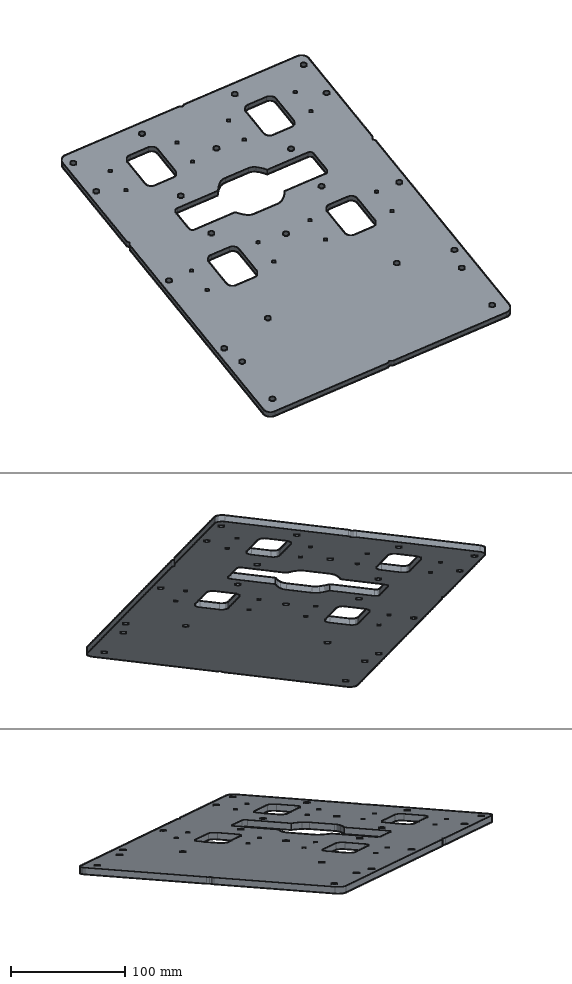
import cadquery as cq
import math

LENGTH = 360.0
WIDTH = 250.0
THICKNESS = 6.0
CORNER_RADIUS = 7.2

AXIS_HOLE_SPACING = 120.0

CENTRE_X = -AXIS_HOLE_SPACING / 2

SLOT_WIDTH = 30.0
SLOT_LENGTH = 140.0
SLOT_CORNER_RADIUS = 3.5
DISC_DIAMETER = 58.5
DISC_CORNER_RADIUS = 10.0
DISC_WIDTH_ACROSS_FLATS = 50.0

WINDOW_LENGTH = 42.5
WINDOW_WIDTH = 30.5
WINDOW_CORNER_RADIUS = 6.0
WINDOW_SPACING_X = 140.0
WINDOW_SPACING_Y = 120.2
SMALL_HOLE_DIAMETER = 3.2
SMALL_HOLE_SPACING_X = 27.0
SMALL_HOLE_SPACING_Y = 67.5

HOLE_DIAMETER = 5.5
SLOT_HOLE_SPACING_X = 52.5
SLOT_HOLE_SPACING_Y = 112.0
EDGE_ROW_Y = 117.0
EDGE_ROW_X = (-168.0, -128.5, -3.2, 91.8)
SINGLE_PAIRS = ((-168.0, 47.0), (80.0, 65.5), (113.8, 111.5), (166.0, 111.5))

NOTCH_RADIUS = 1.5
NOTCH_MOUTH_RADIUS = 3.5
NOTCH_PLACES = (
    (-LENGTH / 2, 0, 0),
    (LENGTH / 2, 0, 180),
    (CENTRE_X, -WIDTH / 2, 90),
    (CENTRE_X, WIDTH / 2, -90),
)


def rounded_block(length, width, radius):
    block = cq.Workplane("XY").box(length, width, THICKNESS, centered=(True, True, False))
    return block.edges("|Z").fillet(radius)


def rectangle_corners(spacing_x, spacing_y, centre=(0, 0)):
    """Four corner points of a rectangle."""
    return [
        (centre[0] + side_x * spacing_x / 2, centre[1] + side_y * spacing_y / 2)
        for side_x in (-1, 1)
        for side_y in (-1, 1)
    ]


def pins(points, diameter):
    """Cylinders through the plate thickness, used to cut holes."""
    return cq.Workplane("XY").pushPoints(points).circle(diameter / 2).extrude(THICKNESS)


def central_opening():
    slot = rounded_block(SLOT_WIDTH, SLOT_LENGTH, SLOT_CORNER_RADIUS)
    disc = pins([(0, 0)], DISC_DIAMETER)
    flats = cq.Workplane("XY").box(
        DISC_WIDTH_ACROSS_FLATS, DISC_DIAMETER, THICKNESS, centered=(True, True, False)
    )
    flattened_disc = disc.intersect(flats).edges("|Z").fillet(DISC_CORNER_RADIUS)
    return slot.union(flattened_disc).translate((CENTRE_X, 0, 0))


def edge_notch():
    """Shallow round notch with rounded mouth, cut into an edge lying on X = 0 with the plate on +X."""
    mouth = math.sqrt((NOTCH_RADIUS + NOTCH_MOUTH_RADIUS) ** 2 - NOTCH_MOUTH_RADIUS**2)
    share = NOTCH_RADIUS / (NOTCH_RADIUS + NOTCH_MOUTH_RADIUS)
    blend_x = share * NOTCH_MOUTH_RADIUS
    blend_y = share * mouth
    return (
        cq.Workplane("XY")
        .moveTo(0, -mouth)
        .radiusArc((blend_x, -blend_y), NOTCH_MOUTH_RADIUS)
        .threePointArc((NOTCH_RADIUS, 0), (blend_x, blend_y))
        .radiusArc((0, mouth), NOTCH_MOUTH_RADIUS)
        .close()
        .extrude(THICKNESS)
    )


window_centres = rectangle_corners(WINDOW_SPACING_X, WINDOW_SPACING_Y, (CENTRE_X, 0))

small_holes = []
for centre in window_centres:
    small_holes += rectangle_corners(SMALL_HOLE_SPACING_X, SMALL_HOLE_SPACING_Y, centre)

mounting_holes = rectangle_corners(SLOT_HOLE_SPACING_X, SLOT_HOLE_SPACING_Y, (CENTRE_X, 0))
mounting_holes += [(-AXIS_HOLE_SPACING, 0), (0, 0)]
for side in (-1, 1):
    mounting_holes += [(x, side * EDGE_ROW_Y) for x in EDGE_ROW_X]
    mounting_holes += [(x, side * y) for x, y in SINGLE_PAIRS]

result = rounded_block(LENGTH, WIDTH, CORNER_RADIUS).cut(central_opening())
for x, y in window_centres:
    window = rounded_block(WINDOW_LENGTH, WINDOW_WIDTH, WINDOW_CORNER_RADIUS)
    result = result.cut(window.translate((x, y, 0)))
result = result.cut(pins(small_holes, SMALL_HOLE_DIAMETER))
result = result.cut(pins(mounting_holes, HOLE_DIAMETER))
for x, y, turn in NOTCH_PLACES:
    notch = edge_notch().rotate((0, 0, 0), (0, 0, 1), turn).translate((x, y, 0))
    result = result.cut(notch)